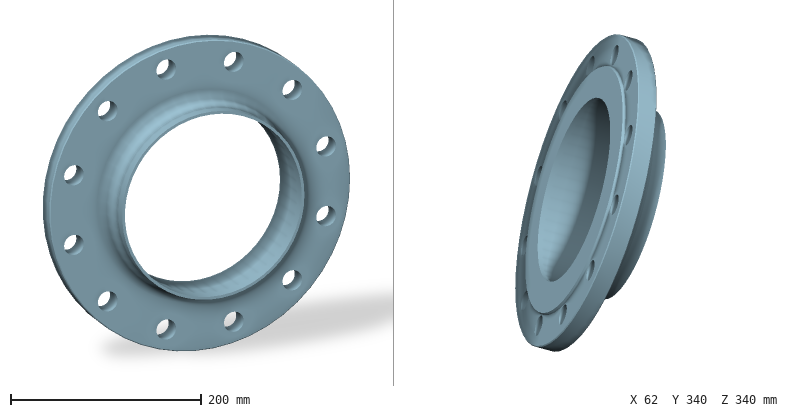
import cadquery as cq
import math

total_length = 62.0
flange_diameter = 340.0
flange_back = 24.0
flange_chamfer = 1.0

raised_face_height = 3.0
raised_face_diameter = 268.0
raised_face_base_diameter = 271.0

neck_diameter = 206.0
neck_start = 46.5
hub_angle = 16.0
hub_fillet = 9.0
bore_diameter = 200.0

bolt_count = 12
bolt_hole_diameter = 22.0
bolt_circle_diameter = 295.0

neck_radius = neck_diameter / 2
hub_base_radius = neck_radius + (neck_start - flange_back) * math.tan(math.radians(hub_angle))


def make_body():
    """Revolve the flange, raised face, conical hub and neck around X."""
    flange_radius = flange_diameter / 2
    bore_radius = bore_diameter / 2
    profile = [
        (0, bore_radius),
        (0, raised_face_diameter / 2),
        (raised_face_height, raised_face_base_diameter / 2),
        (raised_face_height, flange_radius - flange_chamfer),
        (raised_face_height + flange_chamfer, flange_radius),
        (flange_back - flange_chamfer, flange_radius),
        (flange_back, flange_radius - flange_chamfer),
        (flange_back, hub_base_radius),
        (neck_start, neck_radius),
        (total_length, neck_radius),
        (total_length, bore_radius),
    ]
    return cq.Workplane("XY").polyline(profile).close().revolve(360, (0, 0, 0), (1, 0, 0))


def hub_edge(x, radius):
    """Selector for the hub edge of the given radius at position x."""
    half_width = 0.5
    reach = radius + half_width
    return cq.selectors.BoxSelector(
        (x - half_width, -reach, -reach), (x + half_width, reach, reach), boundingbox=True
    )


def blend_hub(body):
    """Round both concave corners at the ends of the conical hub."""
    corners = [(flange_back, hub_base_radius), (neck_start, neck_radius)]
    for x, radius in corners:
        body = body.edges(hub_edge(x, radius)).fillet(hub_fillet)
    return body


def make_bolt_holes():
    """Cutters for the bolt holes, straddling the Y and Z axes."""
    pitch = 360 / bolt_count
    return (
        cq.Workplane("YZ")
        .polarArray(bolt_circle_diameter / 2, pitch / 2, 360, bolt_count)
        .circle(bolt_hole_diameter / 2)
        .extrude(flange_back)
    )


result = blend_hub(make_body()).cut(make_bolt_holes())